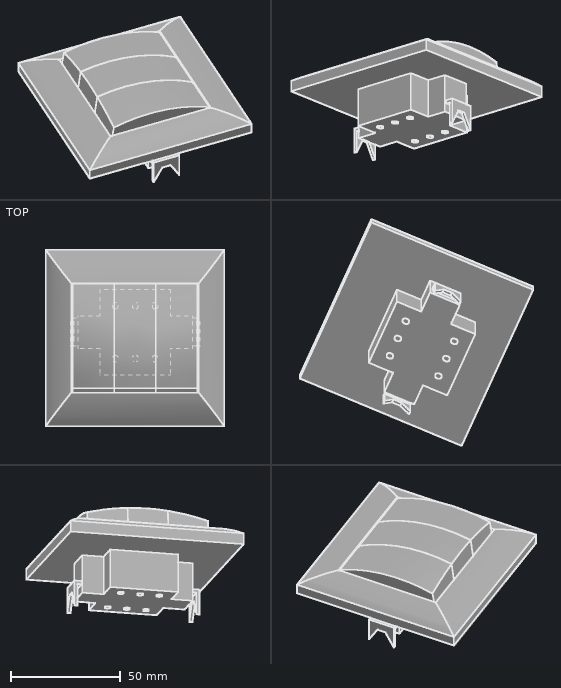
import cadquery as cq

FRAME_X = 81.5
FRAME_Y = 80.5
RIM_HEIGHT = 5.1
FRAME_HEIGHT = 11.1
OPENING_X = 58.2
OPENING_Y = 49.9
FLOOR_HEIGHT = 1.6
BULGE_X = 0.9
BULGE_Y = 0.8

ROCKER_COUNT = 3
ROCKERS_X = 56.9
BACK_Y = 24.6
FRONT_TOP_Y = -22.9
FRONT_FOOT_Y = -25.1
BACK_HEIGHT = 10.9
MIDDLE_PEAK = (-7.9, 20.2)
MIDDLE_FRONT_HEIGHT = 19.0
SIDE_PEAK = (-3.4, 17.4)
SIDE_FRONT_HEIGHT = 15.1
SEAM_WIDTH = 0.1

BODY_Y_CENTER = 2.8
BODY_X = 52.0
BODY_Y = 38.95
BODY_ARM_X = 31.95
BODY_ARM_Y = 14.8
BODY_DEPTH = 17.85

STUD_WIDTH = 2.5
STUD_LENGTH = 3.1
STUD_HEIGHT = 0.3
STUD_PITCH_X = 9.05
STUD_PITCH_Y = 24.1
STUD_COLUMNS = 3
STUD_ROWS = 2

CLAW_SPAN = 59.0
CLAW_WIDTH = 12.8
CLAW_THICKNESS = 1.55
CLAW_TOP = -12.0
CLAW_BOTTOM = -23.9
NOTCH_TOP = -16.5
NOTCH_TOP_WIDTH = 4.0


def slope_profile(plane, width, opening, bulge):
    """Closed frame section with a curved slope on each side of a flat top."""
    outer = width / 2
    inner = opening / 2
    mid_x = (outer + inner) / 2
    mid_z = (RIM_HEIGHT + FRAME_HEIGHT) / 2 + bulge
    return (
        cq.Workplane(plane)
        .moveTo(-outer, 0)
        .lineTo(outer, 0)
        .lineTo(outer, RIM_HEIGHT)
        .threePointArc((mid_x, mid_z), (inner, FRAME_HEIGHT))
        .lineTo(-inner, FRAME_HEIGHT)
        .threePointArc((-mid_x, mid_z), (-outer, RIM_HEIGHT))
        .close()
    )


def make_frame():
    """Two crossing curved profiles meet in mitred corners around a pocket."""
    across_x = slope_profile("XZ", FRAME_X, OPENING_X, BULGE_X).extrude(FRAME_Y / 2, both=True)
    across_y = slope_profile("YZ", FRAME_Y, OPENING_Y, BULGE_Y).extrude(FRAME_X / 2, both=True)
    pocket = (
        cq.Workplane("XY")
        .workplane(offset=FLOOR_HEIGHT)
        .rect(OPENING_X, OPENING_Y)
        .extrude(FRAME_HEIGHT)
    )
    return across_x.intersect(across_y).cut(pocket)


def rocker_section(x, peak, front_height):
    """Wire across the rockers at one X, with an arc on top."""
    return (
        cq.Workplane("YZ", origin=(x, 0, 0))
        .moveTo(FRONT_FOOT_Y, FLOOR_HEIGHT)
        .lineTo(BACK_Y, FLOOR_HEIGHT)
        .lineTo(BACK_Y, BACK_HEIGHT)
        .threePointArc(peak, (FRONT_TOP_Y, front_height))
        .close()
        .val()
    )


def make_rockers():
    half = ROCKERS_X / 2
    sections = [
        rocker_section(-half, SIDE_PEAK, SIDE_FRONT_HEIGHT),
        rocker_section(0, MIDDLE_PEAK, MIDDLE_FRONT_HEIGHT),
        rocker_section(half, SIDE_PEAK, SIDE_FRONT_HEIGHT),
    ]
    rockers = cq.Workplane(cq.Solid.makeLoft(sections))
    rocker_width = ROCKERS_X / ROCKER_COUNT
    for i in range(1, ROCKER_COUNT):
        seam = (
            cq.Workplane("XY", origin=(-half + i * rocker_width, 0, FLOOR_HEIGHT))
            .rect(SEAM_WIDTH, FRAME_Y)
            .extrude(MIDDLE_PEAK[1])
        )
        rockers = rockers.cut(seam)
    return rockers


def make_body():
    """Cross-shaped block reaching down from the frame."""
    plane = cq.Workplane("XY", origin=(0, BODY_Y_CENTER, 0))
    long_arm = plane.rect(BODY_X, BODY_ARM_Y).extrude(-BODY_DEPTH)
    short_arm = plane.rect(BODY_ARM_X, BODY_Y).extrude(-BODY_DEPTH)
    return long_arm.union(short_arm)


def make_studs():
    return (
        cq.Workplane("XY", origin=(0, BODY_Y_CENTER, -BODY_DEPTH))
        .rarray(STUD_PITCH_X, STUD_PITCH_Y, STUD_COLUMNS, STUD_ROWS)
        .slot2D(STUD_LENGTH, STUD_WIDTH, 90)
        .extrude(-STUD_HEIGHT)
    )


def make_claws():
    """Strip through the body with both ends bent down and notched into two points."""
    outer = CLAW_SPAN / 2
    inner = outer - CLAW_THICKNESS
    half_width = CLAW_WIDTH / 2
    strip = (
        cq.Workplane("XZ", origin=(0, BODY_Y_CENTER, 0))
        .moveTo(-outer, CLAW_TOP)
        .lineTo(outer, CLAW_TOP)
        .lineTo(outer, CLAW_BOTTOM)
        .lineTo(inner, CLAW_BOTTOM)
        .lineTo(inner, CLAW_TOP - CLAW_THICKNESS)
        .lineTo(-inner, CLAW_TOP - CLAW_THICKNESS)
        .lineTo(-inner, CLAW_BOTTOM)
        .lineTo(-outer, CLAW_BOTTOM)
        .close()
        .extrude(half_width, both=True)
    )
    notch = (
        cq.Workplane("YZ", origin=(0, BODY_Y_CENTER, 0))
        .moveTo(-half_width, CLAW_BOTTOM)
        .lineTo(-NOTCH_TOP_WIDTH / 2, NOTCH_TOP)
        .lineTo(NOTCH_TOP_WIDTH / 2, NOTCH_TOP)
        .lineTo(half_width, CLAW_BOTTOM)
        .close()
        .extrude(outer, both=True)
    )
    return strip.cut(notch)


result = (
    make_frame()
    .union(make_rockers())
    .union(make_body())
    .union(make_studs())
    .union(make_claws())
)